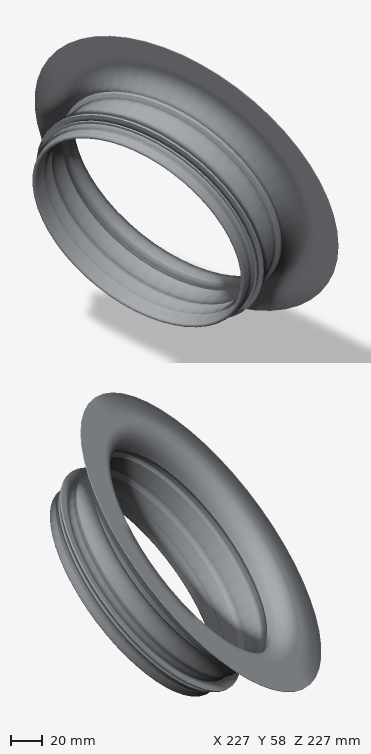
import cadquery as cq
import math


sheet = 0.5
length = 58.0
flange_radius = 227.0 / 2
spigot_radius = 159.0 / 2
neck_radius = 155.4 / 2
seat_radius = 154.2 / 2
seat_bore_radius = seat_radius - sheet
flare_radius = 11.0

bead_radius = 164.4 / 2
bead_start = 15.2
bead_crest_start = 17.7
bead_crest_end = 19.7
bead_end = 21.5

step_start = 34.6
step_end = 37.9
seat_bore_start = 47.8
seat_start = seat_bore_start + sheet

hem_edge = 52.0
hem_fold_radius = (spigot_radius - seat_bore_radius) / 2
hem_fold_start = length - hem_fold_radius

core_radius = spigot_radius - sheet
tall_lip_radius = 169.4 / 2
tall_lip_start = 42.6
tall_lip_end = 43.8
short_lip_radius = 82.4
short_lip_start = 46.5
short_lip_end = 47.4
shoulder_radius = 80.5
shoulder_end = 48.3
shoulder_foot = 49.9


def revolve_about_y(profile):
    return profile.close().revolve(360, (0, 0, 0), (0, 1, 0))


def shifted_corner(radius_change, depth_change):
    """Depth offset between a cone's outer and inner corners that keeps it one sheet thick."""
    half_slope = math.atan2(abs(radius_change), depth_change) / 2
    return sheet * math.tan(half_slope)


def make_collar():
    bore_radius = spigot_radius - sheet
    neck_bore_radius = neck_radius - sheet
    bead_bore_radius = bead_radius - sheet
    flare_center = (spigot_radius + flare_radius, -(sheet + flare_radius))
    diagonal = math.sqrt(0.5)
    inner_flare = flare_radius + sheet
    bead_height = bead_radius - spigot_radius
    rise_shift = shifted_corner(bead_height, bead_crest_start - bead_start)
    fall_shift = shifted_corner(bead_height, bead_end - bead_crest_end)
    step_shift = shifted_corner(spigot_radius - neck_radius, step_end - step_start)
    fold_center_radius = seat_bore_radius + hem_fold_radius
    inner_fold_radius = hem_fold_radius - sheet

    profile = (
        cq.Workplane("XY")
        .moveTo(flange_radius, 0)
        .lineTo(flange_radius, -sheet)
        .lineTo(flare_center[0], -sheet)
        .threePointArc(
            (flare_center[0] - flare_radius * diagonal, flare_center[1] + flare_radius * diagonal),
            (spigot_radius, flare_center[1]),
        )
        .lineTo(spigot_radius, -bead_start)
        .lineTo(bead_radius, -bead_crest_start)
        .lineTo(bead_radius, -bead_crest_end)
        .lineTo(spigot_radius, -bead_end)
        .lineTo(spigot_radius, -step_start)
        .lineTo(neck_radius, -step_end)
        .lineTo(neck_radius, -seat_start)
        .lineTo(seat_radius, -seat_start)
        .lineTo(seat_radius, -hem_fold_start)
        .threePointArc(
            (fold_center_radius, -(hem_fold_start + inner_fold_radius)),
            (core_radius, -hem_fold_start),
        )
        .lineTo(core_radius, -hem_edge)
        .lineTo(spigot_radius, -hem_edge)
        .lineTo(spigot_radius, -hem_fold_start)
        .threePointArc((fold_center_radius, -length), (seat_bore_radius, -hem_fold_start))
        .lineTo(seat_bore_radius, -seat_bore_start)
        .lineTo(neck_bore_radius, -seat_bore_start)
        .lineTo(neck_bore_radius, -(step_end - step_shift))
        .lineTo(bore_radius, -(step_start - step_shift))
        .lineTo(bore_radius, -(bead_end + fall_shift))
        .lineTo(bead_bore_radius, -(bead_crest_end + fall_shift))
        .lineTo(bead_bore_radius, -(bead_crest_start - rise_shift))
        .lineTo(bore_radius, -(bead_start - rise_shift))
        .lineTo(bore_radius, flare_center[1])
        .threePointArc(
            (flare_center[0] - inner_flare * diagonal, flare_center[1] + inner_flare * diagonal),
            (flare_center[0], 0),
        )
    )
    return revolve_about_y(profile)


def make_gasket():
    profile = (
        cq.Workplane("XY")
        .moveTo(neck_radius, -tall_lip_start)
        .lineTo(tall_lip_radius, -tall_lip_start)
        .lineTo(tall_lip_radius, -tall_lip_end)
        .lineTo(core_radius, -tall_lip_end)
        .lineTo(core_radius, -short_lip_start)
        .lineTo(short_lip_radius, -short_lip_start)
        .lineTo(short_lip_radius, -short_lip_end)
        .lineTo(shoulder_radius, -short_lip_end)
        .lineTo(shoulder_radius, -shoulder_end)
        .lineTo(core_radius, -shoulder_foot)
        .lineTo(core_radius, -hem_fold_start)
        .lineTo(seat_radius, -hem_fold_start)
        .lineTo(seat_radius, -seat_start)
        .lineTo(neck_radius, -seat_start)
    )
    return revolve_about_y(profile)


collar = make_collar()
gasket = make_gasket()

result = cq.Compound.makeCompound([collar.val(), gasket.val()])